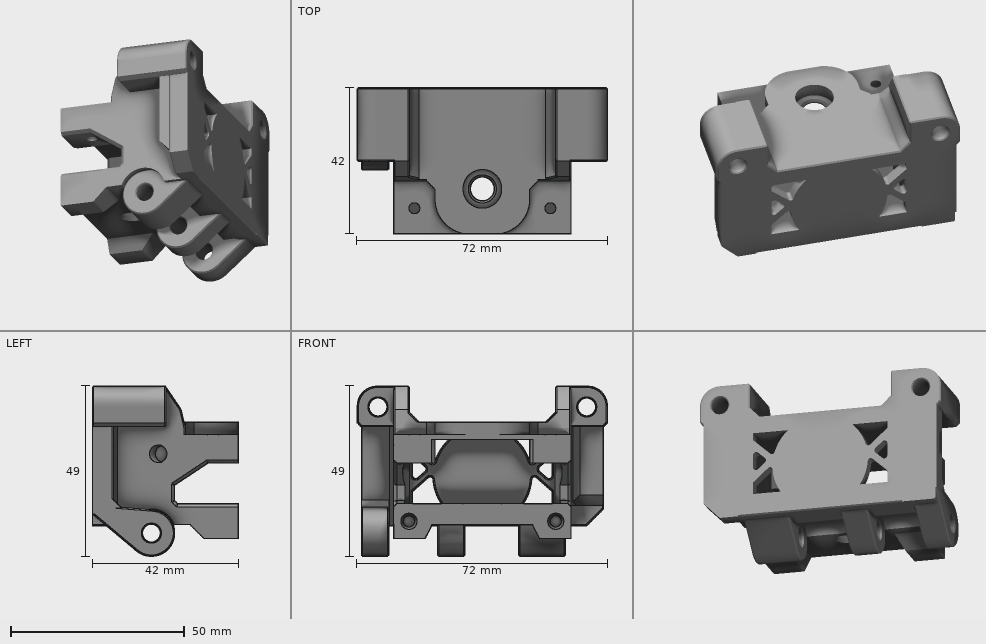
import math

import cadquery as cq


DEPTH = 42.0
HEIGHT = 48.95
BODY_HALF = 25.5
EDGE = 0.4
FAR = 100.0
OVERLAP = 1.0
NEAR = 0.1

DECK_TOP = 38.63
SHELF_TOP = 35.0
SHELF_DEPTH = 15.2
FLANGE_INNER = 21.0
FLANGE_FOOT = 18.17
FLANGE_LIP_Z = 36.8
FLANGE_KNEE_Y = 16.5
FLANGE_KNEE_Z = 42.3
FLANGE_TOP_Y = 21.0
TONGUE_HALF = 13.6
TONGUE_RADIUS = 10.0
TONGUE_CENTRE_Y = 9.9
TONGUE_NECK_Y = 12.8

BLOCK_BOTTOM = 26.85
BLOCK_DEPTH = 8.7
BLOCK_BACK = 12.0
JAW_DEPTH = 18.3
JAW_SLOPE_END = 20.5
FLOOR = 15.15
JAW_EDGE = 0.9

PLATE_BOTTOM = 9.15
BODY_BOTTOM = 8.8
FOOT_BOTTOM = 5.14
FOOT_DEPTH = 9.9
FOOT_REAR = FOOT_DEPTH + PLATE_BOTTOM - FOOT_BOTTOM
FOOT_INNER_TOP = 14.35
FOOT_INNER_BOTTOM = 16.45

AXIS_Y = 12.92
CAVITY_RADIUS = 22.94
CAVITY_HALF = 20.95
CEILING = 33.6
BLOCK_INNER = 13.6
BLOCK_EDGE = 1.0

GRILLE_THICKNESS = 4.0
HUB_RADIUS = 14.25
HUB_Z = 23.1
SPOKE_Z = 25.1
SPOKE_SLOPE = math.radians(41.5)
SPOKE_WIDTH = 1.96
WINDOW_SIDE = 20.05
WINDOW_INNER = 9.5
WINDOW_EDGE = 0.45
WINDOW_ROUND = 0.8
SIDE_WINDOW_ROUND = 0.9

EAR_HOLE_X = 30.0
EAR_OUTER = 35.98
EAR_HOLE_Z = 42.97
EAR_RADIUS = 5.75
EAR_BOTTOM = 37.3
EAR_LENGTH = 21.2
EAR_BEVEL = 1.1

WING_OUTER = 34.8
WING_FRONT = 35.9
WING_EDGE = 0.5
WING_BEVEL = 1.15
WING_CORNER = 4.8
RIGHT_BEVEL = 1.6
PAD_FRONT = 33.4
PAD_RISE = 2.95
PAD_INNER = 28.0
PAD_BOTTOM = 17.6

LUG_RADIUS = 6.7
LUG_Y = 25.0
LUG_SPANS = ((-WING_OUTER, -26.9), (-12.9, -5.0), (10.4, 23.9))
LUG_TOP_Y = 36.4
LUG_TOP_Z = 14.35
LUG_FOOT = 1.9
LUG_REAR_Z = 12.2
LUG_CLEARANCE = 0.2

PIN_HOLE = 5.1
PIN_HOLE_MOUTH = 5.8
SEAT_HOLE = 11.13
SEAT_DEPTH = 4.0
FEED_HOLE = 6.8
FEED_BEVEL = 0.65
SHELF_HOLE = 3.15
SHELF_HOLE_X = 19.55
SHELF_HOLE_Y = 7.35
FOOT_HOLE_X = 21.1
FOOT_HOLE_Z = 10.1
FOOT_HOLE_MOUTH = 4.65
FOOT_HOLE_END = 3.2
FOOT_HOLE_DEPTH = 6.0
SIDE_HOLE = 5.0
SIDE_HOLE_Y = 23.06
SIDE_HOLE_Z = 29.5
SIDE_HOLE_DEPTH = 2.6
SIDE_HOLE_LEAN = 1.7


def block(x0, x1, y0, y1, z0, z1):
    """Box between two opposite corners."""
    return cq.Workplane("XY").box(x1 - x0, y1 - y0, z1 - z0, centered=False).translate((x0, y0, z0))


def along_x(points, x0, x1):
    """Solid with a closed (Y, Z) outline between two X positions."""
    return cq.Workplane("YZ").workplane(offset=x0).polyline(points).close().extrude(x1 - x0)


def along_y(points, y0, y1):
    """Solid with a closed (X, Z) outline between two Y positions."""
    return cq.Workplane("XZ").workplane(offset=-y1).polyline(points).close().extrude(y1 - y0)


def both_sides(shape):
    """The shape joined with its mirror image across the middle plane."""
    return shape.union(shape.mirror("YZ"))


def body_shell():
    """Side profile of the body with the deck trough between the two flanges."""
    profile = [
        (0, SHELF_TOP),
        (SHELF_DEPTH, SHELF_TOP),
        (SHELF_DEPTH, FLANGE_LIP_Z),
        (FLANGE_KNEE_Y, FLANGE_KNEE_Z),
        (FLANGE_TOP_Y, HEIGHT),
        (DEPTH, HEIGHT),
        (DEPTH, BODY_BOTTOM),
        (JAW_DEPTH + OVERLAP, BODY_BOTTOM),
        (JAW_DEPTH, PLATE_BOTTOM),
        (FOOT_REAR, PLATE_BOTTOM),
        (FOOT_DEPTH, FOOT_BOTTOM),
        (0, FOOT_BOTTOM),
    ]
    shell = along_x(profile, -BODY_HALF, BODY_HALF)
    crease_z = DECK_TOP + FLANGE_INNER - FLANGE_FOOT
    trough = [
        (-FLANGE_INNER, FAR),
        (-FLANGE_INNER, crease_z),
        (-FLANGE_FOOT, DECK_TOP),
        (FLANGE_FOOT, DECK_TOP),
        (FLANGE_INNER, crease_z),
        (FLANGE_INNER, FAR),
    ]
    shell = shell.cut(along_y(trough, 0, DEPTH))
    shell = shell.faces(">Y").edges("not(<X or >X)").chamfer(EDGE)
    for side in (-1, 1):
        shell = shell.edges(flange_rim(side)).chamfer(EDGE)
    return shell


def flange_rim(side):
    """Selector for the front and top edges of the flange on one side (-1 or +1)."""
    front = FLANGE_TOP_Y + NEAR
    inner_front = (FLANGE_FOOT - NEAR, FLANGE_INNER + NEAR, SHELF_DEPTH, front, DECK_TOP + NEAR)
    inner_top = (FLANGE_INNER - NEAR, FLANGE_INNER + NEAR, front, DEPTH - NEAR, HEIGHT - NEAR)
    outer_front = (BODY_HALF - NEAR, BODY_HALF + NEAR, SHELF_DEPTH - NEAR, front, SHELF_TOP + NEAR)

    def pick(x0, x1, y0, y1, z0):
        return cq.selectors.BoxSelector((side * x0, y0, z0), (side * x1, y1, HEIGHT + NEAR))

    return pick(*inner_front) + pick(*inner_top) + pick(*outer_front)


def tongue():
    """Rounded extension of the deck over the shelf."""
    centre_x = TONGUE_HALF - TONGUE_RADIUS
    front_x = centre_x + math.sqrt(TONGUE_RADIUS**2 - TONGUE_CENTRE_Y**2)
    flare_half = TONGUE_HALF + SHELF_DEPTH - TONGUE_NECK_Y
    reach = TONGUE_RADIUS * math.sqrt(0.5)
    mid_x = centre_x + reach
    mid_y = TONGUE_CENTRE_Y - reach
    root_y = SHELF_DEPTH + 2 * OVERLAP
    return (
        cq.Workplane("XY")
        .workplane(offset=SHELF_TOP)
        .moveTo(-front_x, 0)
        .lineTo(front_x, 0)
        .threePointArc((mid_x, mid_y), (TONGUE_HALF, TONGUE_CENTRE_Y))
        .lineTo(TONGUE_HALF, TONGUE_NECK_Y)
        .lineTo(flare_half, SHELF_DEPTH)
        .lineTo(flare_half, root_y)
        .lineTo(-flare_half, root_y)
        .lineTo(-flare_half, SHELF_DEPTH)
        .lineTo(-TONGUE_HALF, TONGUE_NECK_Y)
        .lineTo(-TONGUE_HALF, TONGUE_CENTRE_Y)
        .threePointArc((-mid_x, mid_y), (-front_x, 0))
        .close()
        .extrude(DECK_TOP - SHELF_TOP)
    )


def jaw():
    """Opening across the front of the body, bevelled where it leaves the sides."""
    outline = [
        (-FAR, BLOCK_BOTTOM),
        (BLOCK_DEPTH, BLOCK_BOTTOM),
        (JAW_DEPTH, JAW_SLOPE_END),
        (JAW_DEPTH, FLOOR + JAW_EDGE),
        (JAW_DEPTH - JAW_EDGE, FLOOR),
        (-FAR, FLOOR),
    ]
    cut = along_x(outline, -BODY_HALF, BODY_HALF)
    mouth = (
        cq.Workplane("YZ")
        .workplane(offset=BODY_HALF - JAW_EDGE)
        .polyline(outline)
        .close()
        .extrude(JAW_EDGE, taper=-45)
    )
    return cut.union(both_sides(mouth))


def cavity():
    """Round chamber about the feed axis, run straight back to the grille."""
    drum = cq.Workplane("XY").workplane(offset=FLOOR).center(0, AXIS_Y)
    drum = drum.circle(CAVITY_RADIUS).extrude(CEILING - FLOOR)
    rear = block(-CAVITY_HALF, CAVITY_HALF, AXIS_Y, DEPTH - GRILLE_THICKNESS, FLOOR, CEILING)
    shelf_block = block(BLOCK_INNER, FAR, -FAR, BLOCK_BACK, BLOCK_BOTTOM, CEILING)
    bevel = (
        cq.Workplane("XY")
        .workplane(offset=BLOCK_BOTTOM)
        .polyline([(BLOCK_INNER, 0), (BLOCK_INNER + BLOCK_EDGE, 0), (BLOCK_INNER, BLOCK_EDGE)])
        .close()
        .extrude(CEILING - BLOCK_BOTTOM)
    )
    return drum.union(rear).cut(both_sides(shelf_block)).union(both_sides(bevel))


def grille_windows():
    """Openings left of the hub: above, between and below the two spokes."""
    y0 = DEPTH - GRILLE_THICKNESS
    slope = math.tan(SPOKE_SLOPE)
    half = SPOKE_WIDTH / 2 / math.cos(SPOKE_SLOPE)
    rise = (WINDOW_SIDE - HUB_RADIUS) * slope
    dip = (HUB_RADIUS - WINDOW_INNER) * slope
    hub = cq.Workplane("XZ").workplane(offset=-DEPTH).center(0, HUB_Z).circle(HUB_RADIUS)
    hub = hub.extrude(GRILLE_THICKNESS)

    def outer_window(end_z, sign):
        outline = [
            (-WINDOW_SIDE, end_z),
            (-WINDOW_SIDE, SPOKE_Z + sign * (half + rise)),
            (-WINDOW_INNER, SPOKE_Z + sign * (half - dip)),
            (-WINDOW_INNER, end_z),
        ]
        window = along_y(outline, y0, DEPTH).cut(hub)
        tip = cq.selectors.NearestToPointSelector((-HUB_RADIUS, DEPTH, SPOKE_Z + sign * half))
        return window.edges("|Y").edges(tip).fillet(WINDOW_ROUND)

    side_outline = [
        (-WINDOW_SIDE, SPOKE_Z + rise - half),
        (-WINDOW_SIDE, SPOKE_Z - rise + half),
        (-HUB_RADIUS - half / slope, SPOKE_Z),
    ]
    side_window = along_y(side_outline, y0, DEPTH).edges("|Y").fillet(SIDE_WINDOW_ROUND)
    return [outer_window(CEILING, 1), side_window, outer_window(FLOOR, -1)]


def window_bevel(window):
    """Bevel cutter around the rim of a window, on the front of the grille."""
    rim = window.faces("<Y").val().outerWire().translate(cq.Vector(0, WINDOW_EDGE, 0))
    start = cq.Workplane("XZ", origin=(0, DEPTH - GRILLE_THICKNESS + WINDOW_EDGE, 0))
    bevel = start.add(rim).toPending().extrude(WINDOW_EDGE, taper=-45)
    return bevel.intersect(block(-FAR, FAR, 0, DEPTH, FLOOR, CEILING))


def ears():
    """Rounded bars at the top outer corners."""
    start = DEPTH - EAR_LENGTH
    ear = block(BODY_HALF - OVERLAP, EAR_OUTER, start, DEPTH, EAR_BOTTOM, HEIGHT)
    ear = ear.edges("|Y and >X and >Z").fillet(EAR_RADIUS)
    ear = ear.edges("|Y and >X and <Z").chamfer(EAR_BEVEL)
    ear = ear.faces("<Y or >Y").edges("not(<X)").chamfer(EDGE)
    return both_sides(ear)


def wing(front, bevel):
    """Plate beside the body on +X, with a bevel running into the body side."""
    outline = [
        (BODY_HALF - OVERLAP, DEPTH),
        (BODY_HALF - OVERLAP, front - bevel),
        (BODY_HALF, front - bevel),
        (BODY_HALF + bevel, front),
        (WING_OUTER - WING_EDGE / 2, front),
        (WING_OUTER, front + WING_EDGE),
        (WING_OUTER, DEPTH),
    ]
    rise = EAR_BOTTOM + OVERLAP - BODY_BOTTOM
    return cq.Workplane("XY").workplane(offset=BODY_BOTTOM).polyline(outline).close().extrude(rise)


def right_wing():
    """Wing on +X with a cropped lower corner and a raised pad."""
    front = PAD_FRONT + PAD_RISE
    pad_foot = PAD_BOTTOM - PAD_RISE
    plate = wing(front, RIGHT_BEVEL)
    plate = plate.cut(block(BODY_HALF, FAR, 0, front, 0, pad_foot))
    plate = plate.edges("|Y and >X and <Z").chamfer(WING_CORNER)
    rim_low = (BODY_HALF, front - NEAR, 0)
    rim_high = (WING_OUTER, front + NEAR, pad_foot - OVERLAP)
    rim = cq.selectors.BoxSelector(rim_low, rim_high)
    plate = plate.edges(rim).edges("not(|Y)").edges("not(|Z)").chamfer(EDGE)
    pad_left = PAD_INNER - PAD_RISE
    pad = block(pad_left, WING_OUTER, PAD_FRONT, front, pad_foot, EAR_BOTTOM)
    left_outline = [(pad_left, front), (PAD_INNER, PAD_FRONT), (pad_left, PAD_FRONT)]
    left_bevel = cq.Workplane("XY").polyline(left_outline).close().extrude(HEIGHT)
    lower_outline = [(front, pad_foot), (PAD_FRONT, PAD_BOTTOM), (PAD_FRONT, pad_foot)]
    lower_bevel = along_x(lower_outline, 0, WING_OUTER)
    return plate.union(pad.cut(left_bevel).cut(lower_bevel))


def lug_outline():
    """(Y, Z) outline of a lug: round end, sloping top and tangent underside."""
    rear = (DEPTH - LUG_Y, LUG_REAR_Z - LUG_RADIUS)
    top = (LUG_TOP_Y - LUG_Y, LUG_TOP_Z - LUG_RADIUS)
    low = math.atan2(rear[1], rear[0]) - math.acos(LUG_RADIUS / math.hypot(*rear))
    high = math.atan2(top[1], top[0]) + math.acos(LUG_RADIUS / math.hypot(*top))

    def on_round(angle):
        return (LUG_Y + LUG_RADIUS * math.cos(angle), LUG_RADIUS + LUG_RADIUS * math.sin(angle))

    return (
        cq.Workplane("YZ")
        .moveTo(DEPTH, LUG_REAR_Z)
        .lineTo(*on_round(low))
        .threePointArc(on_round(math.pi), on_round(high))
        .lineTo(LUG_TOP_Y, LUG_TOP_Z)
        .lineTo(DEPTH, LUG_TOP_Z)
        .close()
    )


def lug(x0, x1):
    """One hinge lug between two X positions."""
    solid = lug_outline().extrude(x1 - x0).faces("<X or >X").chamfer(EDGE)
    return solid.translate((x0, 0, 0))


def knuckle_gaps():
    """Round clearance in the underside beside the lugs, about the lug axis."""
    gap = cq.Workplane("YZ").workplane(offset=-BODY_HALF).center(LUG_Y, LUG_RADIUS)
    return gap.circle(LUG_RADIUS + LUG_CLEARANCE).extrude(2 * BODY_HALF)


def left_wing():
    """Wing on -X that runs down into the outermost lug, with a sloped foot where they meet."""
    x0, x1 = LUG_SPANS[0]
    plate = wing(WING_FRONT, WING_BEVEL).mirror("YZ")
    plate = plate.cut(block(x0, x0 + EDGE, 0, DEPTH, 0, LUG_REAR_Z))
    plate = plate.edges("|Y and <Z").edges("<X").chamfer(EDGE)
    root_y = WING_FRONT + WING_EDGE
    low_z = LUG_TOP_Z - WING_EDGE
    foot = [
        (root_y, LUG_TOP_Z + LUG_FOOT + WING_EDGE),
        (WING_FRONT - LUG_FOOT - WING_EDGE, low_z),
        (root_y, low_z),
    ]
    return plate.union(along_x(foot, x0, x1))


def spin(profile, start, direction):
    """Round cutter with a (radius, depth) profile, running from `start` along `direction`."""
    shape = cq.Workplane("XZ").polyline(profile).close().revolve(360, (0, 0), (0, 1))
    plane = cq.Plane(origin=start, normal=direction)
    return cq.Workplane(obj=shape.val().moved(cq.Location(plane)))


def pin_hole(start, direction, length):
    """Pin hole with a small bevel at both mouths, running from `start` along `direction`."""
    bevel = (PIN_HOLE_MOUTH - PIN_HOLE) / 2
    profile = [
        (0, 0),
        (PIN_HOLE_MOUTH / 2, 0),
        (PIN_HOLE / 2, bevel),
        (PIN_HOLE / 2, length - bevel),
        (PIN_HOLE_MOUTH / 2, length),
        (0, length),
    ]
    return spin(profile, start, direction)


def feet_gap():
    """Gap under the front of the lower plate that leaves a foot at each side."""
    slope = (FOOT_INNER_BOTTOM - FOOT_INNER_TOP) / (PLATE_BOTTOM - FOOT_BOTTOM)
    low_half = FOOT_INNER_BOTTOM + slope * FOOT_BOTTOM
    outline = [
        (-FOOT_INNER_TOP, PLATE_BOTTOM),
        (FOOT_INNER_TOP, PLATE_BOTTOM),
        (low_half, 0),
        (-low_half, 0),
    ]
    return along_y(outline, 0, FOOT_REAR)


def seat(top, bottom):
    """Counterbored feed hole with its seat at height `top`, opening at `bottom`."""
    thickness = top - bottom
    profile = [
        (0, 0),
        (SEAT_HOLE / 2, 0),
        (SEAT_HOLE / 2, SEAT_DEPTH),
        (FEED_HOLE / 2 + FEED_BEVEL, SEAT_DEPTH),
        (FEED_HOLE / 2, SEAT_DEPTH + FEED_BEVEL),
        (FEED_HOLE / 2, thickness),
        (0, thickness),
    ]
    return spin(profile, (0, AXIS_Y, top), (0, 0, -1))


def plain_hole(diameter, start, direction, length):
    """Straight round cutter from `start` along `direction`."""
    return spin([(0, 0), (diameter / 2, 0), (diameter / 2, length), (0, length)], start, direction)


def side_hole():
    """Blind hole in the -X side that leans toward the front."""
    return (
        cq.Workplane("YZ", origin=(-BODY_HALF, SIDE_HOLE_Y, SIDE_HOLE_Z))
        .circle(SIDE_HOLE / 2)
        .workplane(offset=SIDE_HOLE_DEPTH)
        .center(-SIDE_HOLE_LEAN, 0)
        .circle(SIDE_HOLE / 2)
        .loft(ruled=True)
    )


def holes():
    """Every round hole of the part."""
    cutters = seat(DECK_TOP, CEILING).union(seat(FLOOR, PLATE_BOTTOM - OVERLAP))
    foot_profile = [
        (0, 0),
        (FOOT_HOLE_MOUTH / 2, 0),
        (FOOT_HOLE_END / 2, FOOT_HOLE_DEPTH),
        (0, FOOT_HOLE_DEPTH),
    ]
    for side in (-1, 1):
        shelf_start = (side * SHELF_HOLE_X, SHELF_HOLE_Y, SHELF_TOP)
        shelf_hole = plain_hole(SHELF_HOLE, shelf_start, (0, 0, -1), SHELF_TOP - BLOCK_BOTTOM)
        cutters = cutters.union(shelf_hole)
        cutters = cutters.union(spin(foot_profile, (side * FOOT_HOLE_X, 0, FOOT_HOLE_Z), (0, 1, 0)))
        ear_start = (side * EAR_HOLE_X, DEPTH - EAR_LENGTH, EAR_HOLE_Z)
        cutters = cutters.union(pin_hole(ear_start, (0, 1, 0), EAR_LENGTH))
    for x0, x1 in LUG_SPANS:
        cutters = cutters.union(pin_hole((x0, LUG_Y, LUG_RADIUS), (1, 0, 0), x1 - x0))
    return cutters.union(side_hole())


result = body_shell().union(tongue()).union(ears())
result = result.union(right_wing()).union(left_wing())
result = result.cut(knuckle_gaps())
for span in LUG_SPANS:
    result = result.union(lug(*span))
result = result.cut(cavity()).cut(jaw())
for window in grille_windows():
    result = result.cut(both_sides(window)).cut(both_sides(window_bevel(window)))
result = result.cut(feet_gap()).cut(holes())